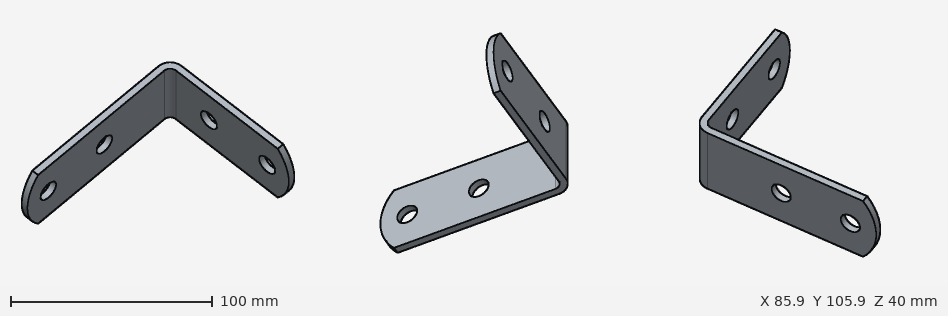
import cadquery as cq
import math

long_leg = 105.9
short_leg = 85.9
width = 40.0
thickness = 4.0
inner_bend_radius = 4.0
end_radius = 30.0

hole_diameter = 11.0
hole_tip_distance = 15.0
hole_spacing = 40.0

half_width = width / 2
outer_bend_radius = inner_bend_radius + thickness
end_arc_height = end_radius - math.sqrt(end_radius**2 - half_width**2)


def flat_leg(plane, length, extrusion):
    """Flat leg from the bend line to a rounded tip, with two holes."""
    shoulder = length - end_arc_height
    blank = (
        cq.Workplane(plane)
        .moveTo(outer_bend_radius, -half_width)
        .lineTo(shoulder, -half_width)
        .threePointArc((length, 0), (shoulder, half_width))
        .lineTo(outer_bend_radius, half_width)
        .close()
        .extrude(extrusion)
    )
    outer_hole = length - hole_tip_distance
    holes = (
        cq.Workplane(plane)
        .pushPoints([(outer_hole, 0), (outer_hole - hole_spacing, 0)])
        .circle(hole_diameter / 2)
        .extrude(extrusion)
    )
    return blank.cut(holes)


def bend():
    """Quarter ring joining the two legs."""
    corner = cq.Workplane("XY").rect(outer_bend_radius, -outer_bend_radius, centered=False)
    corner = corner.extrude(half_width, both=True)
    ring = (
        cq.Workplane("XY")
        .center(outer_bend_radius, -outer_bend_radius)
        .circle(outer_bend_radius)
        .circle(inner_bend_radius)
        .extrude(half_width, both=True)
    )
    return ring.intersect(corner)


short_plane = cq.Plane(origin=(0, 0, 0), xDir=(1, 0, 0), normal=(0, -1, 0))
long_plane = cq.Plane(origin=(0, 0, 0), xDir=(0, -1, 0), normal=(1, 0, 0))

short_side = flat_leg(short_plane, short_leg, thickness)
long_side = flat_leg(long_plane, long_leg, thickness)
result = bend().union(short_side).union(long_side)